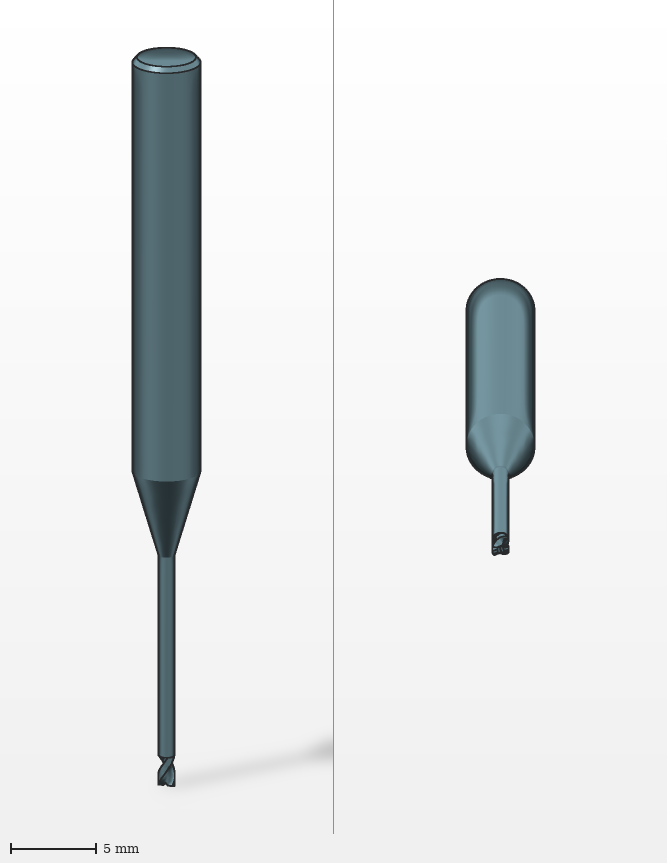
import cadquery as cq
import math

total_length = 45.0
shank_radius = 2.002
end_chamfer_height = 0.3
end_chamfer_width = 0.25

taper_top = 19.45
taper_bottom = 14.2
neck_radius = 0.472

tip_length = 1.85
tip_radius = 0.5
core_radius = 0.2
flute_count = 2
flute_radius = 1.35
helix_angle = 35.0
helix_pitch = 2 * math.pi * tip_radius / math.tan(math.radians(helix_angle))
tip_twist = 360 * tip_length / helix_pitch

dish_width = 0.35
dish_depth = 0.2
edge_width = 0.2
relief_height = 0.2


def make_shank():
    """Chamfered shank tapering down to a slender neck, revolved about Z."""
    chamfer_radius = shank_radius - end_chamfer_width
    return (
        cq.Workplane("XZ")
        .moveTo(0, tip_length)
        .lineTo(neck_radius, tip_length)
        .lineTo(neck_radius, taper_bottom)
        .lineTo(shank_radius, taper_top)
        .lineTo(shank_radius, total_length - end_chamfer_height)
        .lineTo(chamfer_radius, total_length)
        .lineTo(0, total_length)
        .close()
        .revolve(360, (0, 0), (0, 1))
    )


def make_fluted_bar():
    """Round section with opposite scooped flutes, twisted as a right-hand helix."""
    flute_offset = core_radius + flute_radius
    section = cq.Sketch().circle(tip_radius)
    for index in range(flute_count):
        angle = math.pi / 2 + index * 2 * math.pi / flute_count
        centre = (flute_offset * math.cos(angle), flute_offset * math.sin(angle))
        section = section.push([centre]).circle(flute_radius, mode="s").reset()
    return cq.Workplane("XY").placeSketch(section).twistExtrude(tip_length, tip_twist)


def make_dish():
    """V-shaped groove along Y that parts the two end teeth."""
    return (
        cq.Workplane("XZ")
        .polyline([(-dish_width / 2, 0), (dish_width / 2, 0), (0, dish_depth)])
        .close()
        .extrude(tip_radius, both=True)
    )


def make_end_relief(side):
    """Wedge that slopes the end face up from the cutting edge towards +Y or -Y."""
    return (
        cq.Workplane("YZ")
        .polyline([
            (side * edge_width / 2, 0),
            (side * tip_radius, 0),
            (side * tip_radius, relief_height),
        ])
        .close()
        .extrude(tip_radius, both=True)
    )


def make_cutting_tip():
    """Fluted bar with a dished and relieved end face."""
    tip = make_fluted_bar().cut(make_dish())
    for side in (-1, 1):
        tip = tip.cut(make_end_relief(side))
    return tip


shank = make_shank()
cutting_tip = make_cutting_tip()

result = cq.Compound.makeCompound([shank.val(), cutting_tip.solids().val()])